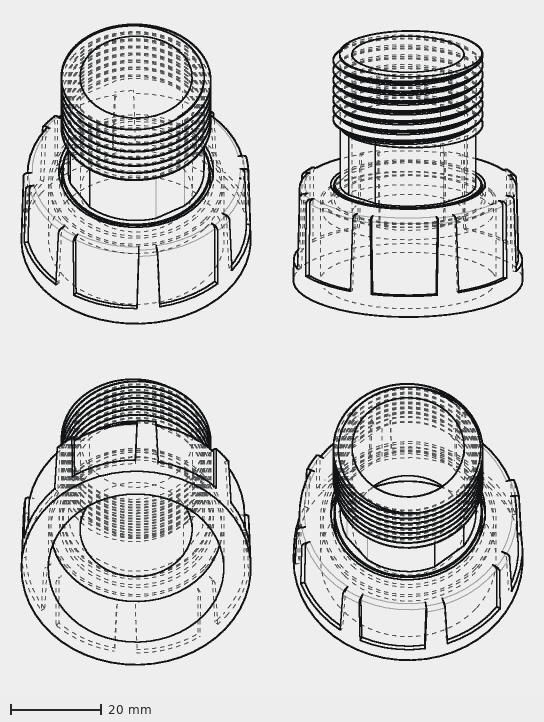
import cadquery as cq
import math

total_height = 53.01
nut_height = 22.5
rim_height = 4.85
thread_length = 16.5
thread_bottom = total_height - thread_length

rim_radius = 25.5
draft_slope = math.tan(math.radians(1.3))
panel_depth = 0.88
top_edge_radius = 1.0
panel_count = 8
first_panel_angle = -2.2
panel_half_angle_bottom = 16.7
panel_half_angle_top = 17.7

lip_radius = 17.15
lip_thickness = 3.5
nut_bore_radius = 19.5
lip_underside = nut_height - lip_thickness

bore_radius = 12.45
neck_radius = 15.1
neck_flat_x = 14.65
neck_flat_y = 14.5
collar_radius = 16.45
collar_chamfer = 0.2
collar_top = nut_height
flange_radius = 19.0
flange_thickness = 3.0
flange_bottom = lip_underside - flange_thickness

thread_pitch = 25.4 / 11
crest_radius = 33.249 / 2
root_radius = 30.291 / 2
crest_width = 0.2
root_width = 0.4
crest_angle_at_top = 258.0
root_overlap = 0.2


def cylinder(radius, bottom, top):
    return cq.Workplane("XY").workplane(offset=bottom).circle(radius).extrude(top - bottom)


def drafted_plug(bottom_radius):
    """Tapered round block, as tall as the nut, with a rounded top edge."""
    top_radius = bottom_radius - nut_height * draft_slope
    plug = (
        cq.Workplane("XZ")
        .polyline([(0, 0), (bottom_radius, 0), (top_radius, nut_height), (0, nut_height)])
        .close()
        .revolve(360, (0, 0, 0), (0, 1, 0))
    )
    return plug.faces(">Z").edges().fillet(top_edge_radius)


def panel_sector(angle):
    """Wedge from the nut axis outwards; a touch wider at the top than at the rim."""
    reach = 1.2 * rim_radius

    def triangle(half_angle):
        half_width = reach * math.tan(math.radians(half_angle))
        return [(0, 0), (reach, -half_width), (reach, half_width)]

    wedge = (
        cq.Workplane("XY")
        .workplane(offset=rim_height)
        .polyline(triangle(panel_half_angle_bottom))
        .close()
        .workplane(offset=nut_height - rim_height)
        .polyline(triangle(panel_half_angle_top))
        .close()
        .loft(ruled=True)
    )
    return wedge.rotate((0, 0, 0), (0, 0, 1), angle)


def make_nut():
    """Union nut: eight grip panels sunk between ribs, over a full rim, with a top lip."""
    ribs = drafted_plug(rim_radius)
    for index in range(panel_count):
        ribs = ribs.cut(panel_sector(first_panel_angle + index * 360 / panel_count))
    nut = ribs.union(drafted_plug(rim_radius - panel_depth))
    nut = nut.cut(cylinder(lip_radius, 0, nut_height))
    return nut.cut(cylinder(nut_bore_radius, 0, lip_underside))


def thread_ridge():
    """Right-handed helical ridge, one pitch longer than the thread at each end."""
    base_width = thread_pitch - root_width
    flank_slope = (base_width - crest_width) / 2 / (crest_radius - root_radius)
    inner_radius = root_radius - root_overlap
    inner_half_width = base_width / 2 + root_overlap * flank_slope
    ridge_length = thread_length + 2 * thread_pitch
    helix = cq.Wire.makeHelix(thread_pitch, ridge_length, root_radius)
    ridge = (
        cq.Workplane("XZ")
        .polyline([
            (inner_radius, -inner_half_width),
            (crest_radius, -crest_width / 2),
            (crest_radius, crest_width / 2),
            (inner_radius, inner_half_width),
        ])
        .close()
        .sweep(cq.Workplane(obj=helix), isFrenet=True)
    )
    turns_to_top = (thread_length + thread_pitch) / thread_pitch
    start_angle = crest_angle_at_top - 360 * turns_to_top
    ridge = ridge.rotate((0, 0, 0), (0, 0, 1), start_angle)
    return ridge.translate((0, 0, thread_bottom - thread_pitch))


def make_tail():
    """Tail piece: flange and collar inside the nut, flatted neck, threaded end, through bore."""
    neck = cylinder(neck_radius, flange_bottom, thread_bottom)
    flats = cq.Workplane("XY").box(2 * neck_flat_x, 2 * neck_flat_y, 2 * total_height)
    tail = neck.intersect(flats)
    collar = cylinder(collar_radius, flange_bottom, collar_top).faces(">Z").chamfer(collar_chamfer)
    tail = tail.union(collar)
    tail = tail.union(cylinder(flange_radius, flange_bottom, lip_underside))
    ridge = thread_ridge().intersect(cylinder(2 * crest_radius, thread_bottom, total_height))
    threaded_end = cylinder(root_radius, thread_bottom, total_height).union(ridge)
    tail = tail.union(threaded_end)
    return tail.cut(cylinder(bore_radius, flange_bottom, total_height))


nut = make_nut()
tail = make_tail()

result = cq.Compound.makeCompound([*nut.solids().vals(), *tail.solids().vals()])